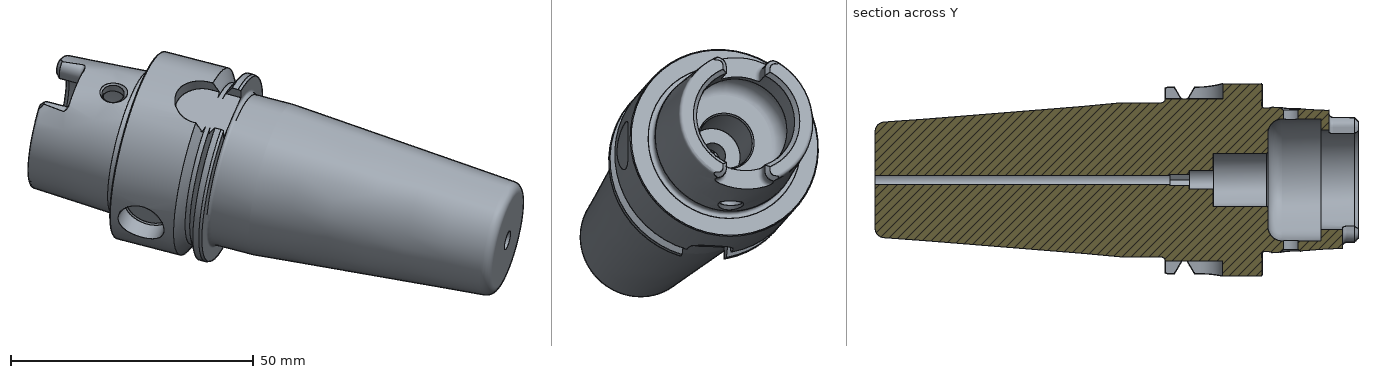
import cadquery as cq


TOTAL_LENGTH = 99.9
FLANGE_START = 19.9
FLANGE_END = 40.0

SHANK_FRONT_RADIUS = 14.2
SHANK_REAR_RADIUS = 15.2
SHANK_LENGTH = 17.9
RELIEF_START = 18.6
RELIEF_RADIUS = 15.0
FRONT_ROUNDING = 0.7
FRONT_CHAMFER = 0.9

FACE_RECESS_RADIUS = 16.2
FACE_RECESS_FLOOR = FLANGE_START + 0.1
FACE_FILLET = 0.6

FLANGE_RADIUS = 20.0
FLANGE_CHAMFER = 0.2
REAR_CHAMFER_LENGTH = 0.6
GROOVE_CENTRE = 36.0
GROOVE_HALF_MOUTH = 2.1
GROOVE_HALF_ROOT = 0.7
GROOVE_HALF_FLOOR = 0.5
GROOVE_ROOT_RADIUS = 17.7
GROOVE_FLOOR_RADIUS = 17.3

NOSE_RADIUS = 16.1
NOSE_FILLET = 0.8
NOSE_CYLINDER_END = 49.0
NOSE_END_RADIUS = 12.0
NOSE_END_FILLET = 2.0

BORE_RADIUS = 10.4
BORE_DEPTH = 7.8
UNDERCUT_RADIUS = 12.7
UNDERCUT_FLOOR = 18.7
UNDERCUT_FILLET = 2.9

THREAD_RADIUS = 5.7
THREAD_CHAMFER = 0.3
THREAD_END = 30.0
COOLANT_RADIUS = 2.6
COOLANT_END = 35.0
HEX_ACROSS_CORNERS = 4.8
HEX_LENGTH = 4.0
OUTLET_RADIUS = 2.0

DRIVE_SLOT_HALF_WIDTH = 4.1
DRIVE_SLOT_SHOULDER = 12.9
DRIVE_SLOT_ROUNDING = 2.0
DRIVE_SLOT_FLOOR_FILLET = 0.9
UPPER_DRIVE_SLOT_DEPTH = 6.1
LOWER_DRIVE_SLOT_DEPTH = 3.3

CROSS_HOLE_X = 14.0
CROSS_HOLE_RADIUS = 2.3
CROSS_HOLE_CHAMFER = 0.6

KEYWAY_START = 27.8
KEYWAY_FLOOR = 16.8
UPPER_KEYWAY_WIDTH = 11.2
LOWER_KEYWAY_WIDTH = 9.4

POCKET_X = 26.8
POCKET_RADIUS = 5.0
POCKET_FLOOR = 15.4
POCKET_FLOOR_CHAMFER = 0.3


def revolve_about_x(profile):
    """Close a profile drawn as (x, radius) points and turn it about the X axis."""
    return profile.close().revolve(360, (0, 0, 0), (1, 0, 0))


def outer_body():
    profile = (
        cq.Workplane("XZ")
        .lineTo(0, SHANK_FRONT_RADIUS - FRONT_ROUNDING)
        .radiusArc((FRONT_ROUNDING, SHANK_FRONT_RADIUS), FRONT_ROUNDING)
        .lineTo(SHANK_LENGTH, SHANK_REAR_RADIUS)
        .lineTo(RELIEF_START, RELIEF_RADIUS)
        .lineTo(FACE_RECESS_FLOOR - FACE_FILLET, RELIEF_RADIUS)
        .radiusArc((FACE_RECESS_FLOOR, RELIEF_RADIUS + FACE_FILLET), -FACE_FILLET)
        .lineTo(FACE_RECESS_FLOOR, FACE_RECESS_RADIUS)
        .lineTo(FLANGE_START, FACE_RECESS_RADIUS)
        .lineTo(FLANGE_START, FLANGE_RADIUS - FLANGE_CHAMFER)
        .lineTo(FLANGE_START + FLANGE_CHAMFER, FLANGE_RADIUS)
        .lineTo(GROOVE_CENTRE - GROOVE_HALF_MOUTH, FLANGE_RADIUS)
        .lineTo(GROOVE_CENTRE - GROOVE_HALF_ROOT, GROOVE_ROOT_RADIUS)
        .lineTo(GROOVE_CENTRE - GROOVE_HALF_FLOOR, GROOVE_FLOOR_RADIUS)
        .lineTo(GROOVE_CENTRE + GROOVE_HALF_FLOOR, GROOVE_FLOOR_RADIUS)
        .lineTo(GROOVE_CENTRE + GROOVE_HALF_ROOT, GROOVE_ROOT_RADIUS)
        .lineTo(GROOVE_CENTRE + GROOVE_HALF_MOUTH, FLANGE_RADIUS)
        .lineTo(FLANGE_END - REAR_CHAMFER_LENGTH, FLANGE_RADIUS)
        .lineTo(FLANGE_END, FLANGE_RADIUS - FLANGE_CHAMFER)
        .lineTo(FLANGE_END, NOSE_RADIUS + NOSE_FILLET)
        .radiusArc((FLANGE_END + NOSE_FILLET, NOSE_RADIUS), -NOSE_FILLET)
        .lineTo(NOSE_CYLINDER_END, NOSE_RADIUS)
        .lineTo(TOTAL_LENGTH, NOSE_END_RADIUS)
        .lineTo(TOTAL_LENGTH, 0)
    )
    return revolve_about_x(profile).faces(">X").edges().fillet(NOSE_END_FILLET)


def axial_bore():
    profile = (
        cq.Workplane("XZ")
        .lineTo(0, BORE_RADIUS + FRONT_CHAMFER)
        .lineTo(FRONT_CHAMFER, BORE_RADIUS)
        .lineTo(BORE_DEPTH, BORE_RADIUS)
        .lineTo(BORE_DEPTH, UNDERCUT_RADIUS)
        .lineTo(UNDERCUT_FLOOR - UNDERCUT_FILLET, UNDERCUT_RADIUS)
        .radiusArc((UNDERCUT_FLOOR, UNDERCUT_RADIUS - UNDERCUT_FILLET), UNDERCUT_FILLET)
        .lineTo(UNDERCUT_FLOOR, THREAD_RADIUS + THREAD_CHAMFER)
        .lineTo(UNDERCUT_FLOOR + THREAD_CHAMFER, THREAD_RADIUS)
        .lineTo(THREAD_END, THREAD_RADIUS)
        .lineTo(THREAD_END, COOLANT_RADIUS)
        .lineTo(COOLANT_END, COOLANT_RADIUS)
        .lineTo(COOLANT_END, OUTLET_RADIUS)
        .lineTo(TOTAL_LENGTH, OUTLET_RADIUS)
        .lineTo(TOTAL_LENGTH, 0)
    )
    return revolve_about_x(profile)


def hex_socket():
    """Hexagonal recess at the end of the wide coolant passage, with two corners on the Y axis."""
    return (
        cq.Workplane("YZ", origin=(COOLANT_END, 0, 0))
        .polygon(6, HEX_ACROSS_CORNERS)
        .extrude(HEX_LENGTH)
    )


def drive_slot_outline(x, side):
    """Slot section at x: a narrow slot whose rounded corners run out into flat shoulders."""
    corner_y = DRIVE_SLOT_HALF_WIDTH + DRIVE_SLOT_ROUNDING
    shoulder_z = side * DRIVE_SLOT_SHOULDER
    wall_top_z = side * (DRIVE_SLOT_SHOULDER - DRIVE_SLOT_ROUNDING)
    corner_radius = -side * DRIVE_SLOT_ROUNDING
    outside = FLANGE_RADIUS
    return (
        cq.Workplane("YZ", origin=(x, 0, 0))
        .moveTo(-DRIVE_SLOT_HALF_WIDTH, 0)
        .lineTo(-DRIVE_SLOT_HALF_WIDTH, wall_top_z)
        .radiusArc((-corner_y, shoulder_z), corner_radius)
        .lineTo(-outside, shoulder_z)
        .lineTo(-outside, side * outside)
        .lineTo(outside, side * outside)
        .lineTo(outside, shoulder_z)
        .lineTo(corner_y, shoulder_z)
        .radiusArc((DRIVE_SLOT_HALF_WIDTH, wall_top_z), corner_radius)
        .lineTo(DRIVE_SLOT_HALF_WIDTH, 0)
        .close()
    )


def drive_slot(depth, side):
    """Drive slot with a filleted floor and a chamfered mouth, on the +Z (1) or -Z (-1) side."""
    slot = drive_slot_outline(0, side).extrude(depth)
    slot = slot.faces(">X").edges().fillet(DRIVE_SLOT_FLOOR_FILLET)
    mouth = drive_slot_outline(FRONT_CHAMFER, side).extrude(-FRONT_CHAMFER, taper=-45)
    return slot.union(mouth)


def cross_hole():
    hole = (
        cq.Workplane("XY", origin=(CROSS_HOLE_X, 0, 0))
        .circle(CROSS_HOLE_RADIUS)
        .extrude(FLANGE_RADIUS, both=True)
    )
    for side in (1, -1):
        cone_start = side * (RELIEF_RADIUS - CROSS_HOLE_CHAMFER)
        countersink = (
            cq.Workplane("XY", origin=(CROSS_HOLE_X, 0, cone_start))
            .circle(CROSS_HOLE_RADIUS)
            .extrude(side * 2 * CROSS_HOLE_CHAMFER, taper=-45)
        )
        hole = hole.union(countersink)
    return hole


def keyway(width, side):
    """Flat-floored keyway, open at the rear of the flange, on the +Z (1) or -Z (-1) side."""
    end_radius = width / 2
    arc_x = KEYWAY_START + end_radius
    return (
        cq.Workplane("XY", origin=(0, 0, side * KEYWAY_FLOOR))
        .moveTo(FLANGE_END, end_radius)
        .lineTo(arc_x, end_radius)
        .threePointArc((KEYWAY_START, 0), (arc_x, -end_radius))
        .lineTo(FLANGE_END, -end_radius)
        .close()
        .extrude(side * (FLANGE_RADIUS - KEYWAY_FLOOR))
    )


def chip_pocket(side):
    """Round pocket with a chamfered floor, on the +Y (1) or -Y (-1) side."""
    floor_face = "<Y" if side > 0 else ">Y"
    return (
        cq.Workplane("XZ", origin=(POCKET_X, side * POCKET_FLOOR, 0))
        .circle(POCKET_RADIUS)
        .extrude(-side * (FLANGE_RADIUS - POCKET_FLOOR))
        .faces(floor_face)
        .edges()
        .chamfer(POCKET_FLOOR_CHAMFER)
    )


def make_holder():
    return (
        outer_body()
        .cut(axial_bore())
        .cut(hex_socket())
        .cut(drive_slot(UPPER_DRIVE_SLOT_DEPTH, 1))
        .cut(drive_slot(LOWER_DRIVE_SLOT_DEPTH, -1))
        .cut(cross_hole())
        .cut(keyway(UPPER_KEYWAY_WIDTH, 1))
        .cut(keyway(LOWER_KEYWAY_WIDTH, -1))
        .cut(chip_pocket(1))
        .cut(chip_pocket(-1))
    )


def make_data_chip():
    """Chip that fills the +Y pocket and ends flush with the round flange."""
    return chip_pocket(1).intersect(outer_body())


holder = make_holder()
data_chip = make_data_chip()

result = cq.Compound.makeCompound([holder.solids().val(), data_chip.solids().val()])